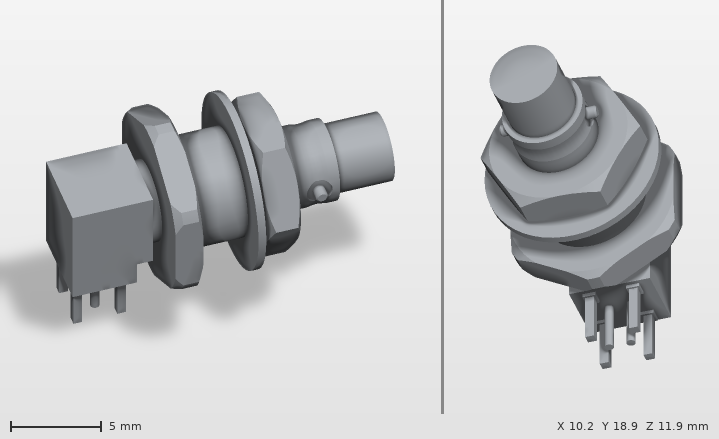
import cadquery as cq
import math


half_hex_angle = math.radians(30)
chamfer_angle = math.radians(30)

overall_length = 18.86
block_length = 4.68
flange_rear = 5.2
flange_front = 6.83
washer_rear = 9.92
washer_front = 10.37
nut_rear = 10.73
nut_front = 12.73
groove_rear = 13.8
groove_front = 14.94
collar_front = 15.56

tube_diameter = 3.95
collar_diameter = 4.7
thread_diameter = 6.35
washer_diameter = 10.15
groove_depth = 0.08

nut_across_flats = 8.05

flange_across_flats = 9.49
flange_across_corners = 10.56
flange_front_face_diameter = 9.7
flange_rear_chamfer_length = 0.45
flange_rear_chamfer_depth = 0.25

lug_y = (groove_rear + groove_front) / 2
lug_diameter = 0.7
lug_span = 5.64
lug_tip_diameter = 0.5
seat_diameter = 1.5
seat_span = 4.32

block_width = 4.7
block_top = 2.38
step_bottom = -2.34
block_bottom = -3.73
lower_block_length = 3.73

terminal_pitch = 2.55
terminal_center_y = 1.85
post_width = 0.5
post_bottom = -6.65
shoulder_width = 0.75
shoulder_height = 0.2
pin_diameter = 0.5
pin_bottom = -6.47


def axial_cylinder(diameter, rear, front):
    """Cylinder around the barrel axis between two stations."""
    rear_plane = cq.Workplane("XZ", origin=(0, rear, 0))
    return rear_plane.circle(diameter / 2).extrude(rear - front)


def hexagon(across_flats, rear, front, turn):
    """Hexagonal prism around the barrel axis; with no turn its corners lie on +-X."""
    across_corners = across_flats / math.cos(half_hex_angle)
    rear_plane = cq.Workplane("XZ", origin=(0, rear, 0))
    prism = rear_plane.polygon(6, across_corners).extrude(rear - front)
    return prism.rotate((0, 0, 0), (0, 1, 0), turn)


def revolved(outline):
    """Solid of revolution around the barrel axis from (radius, station) points."""
    return cq.Workplane("XY").polyline(outline).close().revolve(360, (0, 0, 0), (0, 1, 0))


def make_barrel():
    collar_radius = collar_diameter / 2
    front_body = (
        cq.Workplane("XY")
        .moveTo(0, nut_rear)
        .lineTo(collar_radius, nut_rear)
        .lineTo(collar_radius, groove_rear)
        .threePointArc((collar_radius - groove_depth, lug_y), (collar_radius, groove_front))
        .lineTo(collar_radius, collar_front)
        .lineTo(tube_diameter / 2, collar_front)
        .lineTo(tube_diameter / 2, overall_length)
        .lineTo(0, overall_length)
        .close()
        .revolve(360, (0, 0, 0), (0, 1, 0))
    )
    neck = axial_cylinder(collar_diameter, block_length, flange_rear)
    thread = axial_cylinder(thread_diameter, flange_rear, nut_front)
    washer = axial_cylinder(washer_diameter, washer_rear, washer_front)
    return front_body.union(thread).union(neck).union(washer)


def make_nut():
    face_radius = nut_across_flats / 2
    corner_radius = face_radius / math.cos(half_hex_angle)
    chamfer_length = (corner_radius - face_radius) * math.tan(chamfer_angle)
    envelope = revolved([
        (0, nut_rear),
        (face_radius, nut_rear),
        (corner_radius, nut_rear + chamfer_length),
        (corner_radius, nut_front - chamfer_length),
        (face_radius, nut_front),
        (0, nut_front),
    ])
    return hexagon(nut_across_flats, nut_rear, nut_front, 0).intersect(envelope)


def make_flange():
    corner_radius = flange_across_corners / 2
    front_face_radius = flange_front_face_diameter / 2
    front_chamfer_length = (corner_radius - front_face_radius) * math.tan(chamfer_angle)
    envelope = revolved([
        (0, flange_rear),
        (corner_radius - flange_rear_chamfer_depth, flange_rear),
        (corner_radius, flange_rear + flange_rear_chamfer_length),
        (corner_radius, flange_front - front_chamfer_length),
        (front_face_radius, flange_front),
        (0, flange_front),
    ])
    return hexagon(flange_across_flats, flange_rear, flange_front, 30).intersect(envelope)


def make_lug_seats():
    """Round cutters that leave a flat seat around each lug."""
    seat_plane = cq.Workplane("YZ", origin=(seat_span / 2, lug_y, 0))
    seat_cutter = seat_plane.circle(seat_diameter / 2).extrude((lug_span - seat_span) / 2)
    return seat_cutter.union(seat_cutter.mirror("YZ"))


def make_lugs():
    """Crossbar through the barrel whose chamfered ends form both lugs."""
    lug_plane = cq.Workplane("YZ", origin=(-lug_span / 2, lug_y, 0))
    lug_chamfer = (lug_diameter - lug_tip_diameter) / 2
    crossbar = lug_plane.circle(lug_diameter / 2).extrude(lug_span)
    return crossbar.faces("<X or >X").chamfer(lug_chamfer)


def make_block():
    return (
        cq.Workplane("YZ")
        .moveTo(0, block_bottom)
        .lineTo(lower_block_length, block_bottom)
        .lineTo(lower_block_length, step_bottom)
        .lineTo(block_length, step_bottom)
        .lineTo(block_length, block_top)
        .lineTo(0, block_top)
        .close()
        .extrude(block_width / 2, both=True)
    )


def make_terminals():
    pin_pitch = terminal_pitch / 2
    under_block = cq.Workplane("XY", origin=(0, terminal_center_y, block_bottom))
    post_grid = under_block.rarray(terminal_pitch, terminal_pitch, 2, 2)
    shoulders = post_grid.rect(shoulder_width, shoulder_width).extrude(-shoulder_height)
    posts = post_grid.rect(post_width, post_width).extrude(post_bottom - block_bottom)
    pin_row = under_block.rarray(pin_pitch, 0.19, 2, 1)
    pins = pin_row.circle(pin_diameter / 2).extrude(pin_bottom - block_bottom)
    return shoulders.union(posts).union(pins)


result = (
    make_barrel()
    .cut(make_lug_seats())
    .union(make_nut())
    .union(make_flange())
    .union(make_lugs())
    .union(make_block())
    .union(make_terminals())
)